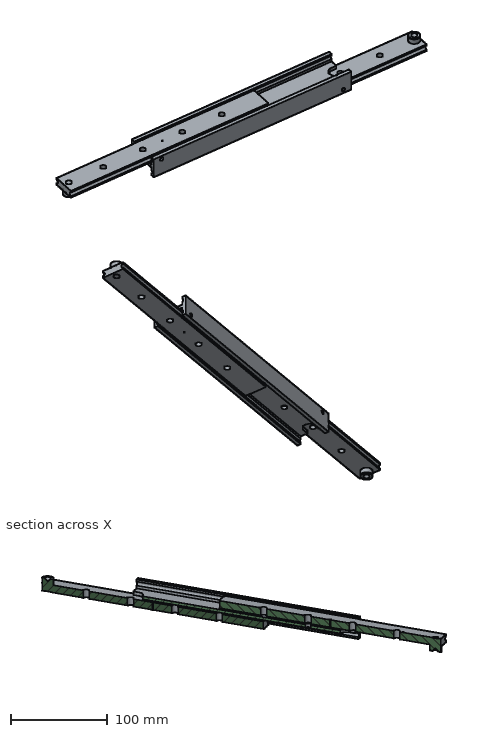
import cadquery as cq
import math

length = 250.0
extension = 100.0
half_height = 12.0
groove_level = 7.5

flange_track_half_opening = 2.25
flange_track_depth = 1.5
rail_track_half_opening = 2.6
rail_track_depth = 2.5
track_bulge = 0.35

housing_half_width = 20.0
flange_inner = 15.5
web_half_thickness = 2.0

notch_width = 14.0
stop_hole_diameter = 4.0
stop_hole_inset = 10.0
access_hole_diameter = 6.0
access_hole_y = -75.0

rail_half_width = 13.0
rail_half_height = half_height - groove_level
rail_hole_diameter = 6.5
rail_hole_pitch = 50.0
rail_hole_count = 4
centre_hole_diameter = 1.0

post_diameter = 13.0
post_height = 6.5
post_inset = 6.5
post_chamfer = 0.5
socket_diameter = 6.5
rail_socket_depth = 0.3

half_length = length / 2


def build_tracks(mouth_x, depth, half_opening, level):
    """Two mirrored ball tracks at one level; a negative depth puts the apex inward of mouth_x."""
    wall_length = math.hypot(depth, half_opening)
    bow_x = depth / 2 + math.copysign(track_bulge * half_opening / wall_length, depth)
    bow_z = half_opening / 2 + track_bulge * abs(depth) / wall_length
    track = (
        cq.Workplane("XZ")
        .center(mouth_x, level)
        .moveTo(0, -half_opening)
        .threePointArc((bow_x, -bow_z), (depth, 0))
        .threePointArc((bow_x, bow_z), (0, half_opening))
        .close()
        .extrude(half_length, both=True)
    )
    return track.union(track.mirror("YZ"))


def build_housing():
    """H-shaped housing with facing ball tracks above and below the web."""
    body = cq.Workplane("XY").box(2 * flange_inner, length, 2 * web_half_thickness)
    flange_thickness = housing_half_width - flange_inner
    for side in (-1, 1):
        flange = cq.Workplane("XY").box(flange_thickness, length, 2 * half_height)
        body = body.union(flange.translate((side * (flange_inner + flange_thickness / 2), 0, 0)))
    for level in (-groove_level, groove_level):
        body = body.cut(build_tracks(flange_inner, flange_track_depth, flange_track_half_opening, level))

    for end in (-1, 1):
        notch_centre = end * (half_length - post_inset)
        notch = (
            cq.Workplane("XY")
            .center(0, notch_centre)
            .circle(notch_width / 2)
            .extrude(web_half_thickness, both=True)
        )
        mouth = cq.Workplane("XY").box(notch_width, post_inset, 2 * web_half_thickness)
        mouth = mouth.translate((0, end * (half_length - post_inset / 2), 0))
        body = body.cut(notch).cut(mouth)

        stop_hole = (
            cq.Workplane("YZ")
            .center(end * (half_length - stop_hole_inset), -end * groove_level)
            .circle(stop_hole_diameter / 2)
            .extrude(housing_half_width, both=True)
        )
        body = body.cut(stop_hole)

    access_hole = (
        cq.Workplane("XY")
        .center(0, access_hole_y)
        .circle(access_hole_diameter / 2)
        .extrude(web_half_thickness, both=True)
    )
    return body.cut(access_hole)


def build_rail():
    """Upper rail in its extended place, with its stop post hanging below the outer end."""
    bar = cq.Workplane("XY").box(2 * rail_half_width, length, 2 * rail_half_height)
    tracks = build_tracks(rail_half_width, -rail_track_depth, rail_track_half_opening, groove_level)
    rail = bar.translate((0, 0, groove_level)).cut(tracks).translate((0, -extension, 0))
    outer_end = -extension - half_length
    first_hole = outer_end + rail_hole_pitch
    hole_places = [(0, first_hole + i * rail_hole_pitch) for i in range(rail_hole_count)]
    holes = (
        cq.Workplane("XY")
        .pushPoints(hole_places)
        .circle(rail_hole_diameter / 2)
        .extrude(half_height)
    )
    centre_hole = (
        cq.Workplane("XY")
        .center(0, -extension)
        .circle(centre_hole_diameter / 2)
        .extrude(half_height)
    )
    rail = rail.cut(holes).cut(centre_hole)

    rail_bottom = groove_level - rail_half_height
    post_base = cq.Workplane("XY").center(0, outer_end + post_inset)
    post = (
        post_base.workplane(offset=rail_bottom)
        .circle(post_diameter / 2)
        .extrude(-post_height)
        .faces("<Z")
        .chamfer(post_chamfer)
    )
    rail_socket = (
        post_base.workplane(offset=half_height)
        .circle(socket_diameter / 2)
        .extrude(-rail_socket_depth)
    )
    post_socket = cq.Workplane(
        cq.Solid.makeCone(
            socket_diameter / 2,
            0,
            socket_diameter / 2,
            pnt=cq.Vector(0, outer_end + post_inset, rail_bottom - post_height),
        )
    )
    return rail.union(post).cut(rail_socket).cut(post_socket)


housing = build_housing()
upper_rail = build_rail()
lower_rail = build_rail().rotate((0, 0, 0), (1, 0, 0), 180)

result = cq.Compound.makeCompound([housing.val(), upper_rail.val(), lower_rail.val()])